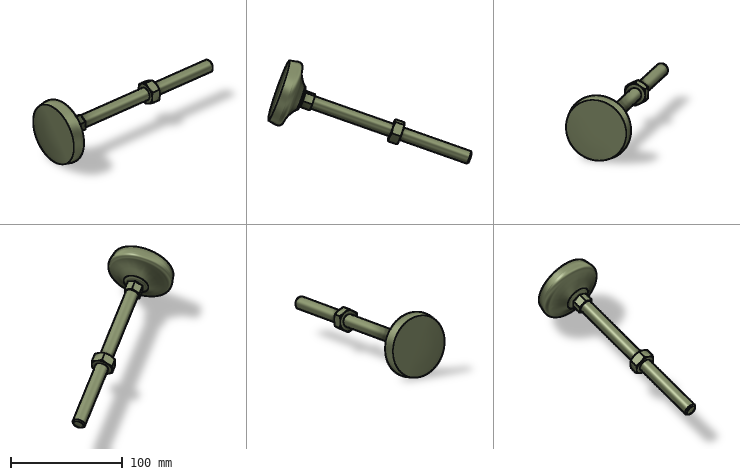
import cadquery as cq
import math

total_length = 182.0

foot_radius = 30.0
sole_radius = 28.5
skirt_height = 7.3
band_top = 8.7
shoulder_radius = 26.4
shoulder_height = 13.0
crown_edge_radius = 11.6
crown_edge_height = 20.4
crown_flat_radius = 9.1
foot_height = 22.0
flare_sag = 1.5
shoulder_bulge = 1.1
crown_bulge = 0.45

neck_diameter = 10.0
rod_diameter = 12.0
rod_chamfer = 1.3
stem_hex_start = 23.0
stem_hex_end = 31.8
stem_hex_flats = 14.0

nut_start = 107.0
nut_thickness = 9.3
nut_flats = 19.1
nut_chamfer_angle = 30.0


def bulged_midpoint(start, end, bulge):
    """Middle point of an arc; a positive bulge lies to the left of the travel from start to end."""
    dx = end[0] - start[0]
    dy = end[1] - start[1]
    chord = math.hypot(dx, dy)
    middle_x = (start[0] + end[0]) / 2 - bulge * dy / chord
    middle_y = (start[1] + end[1]) / 2 + bulge * dx / chord
    return (middle_x, middle_y)


def cylinder(diameter, start, end):
    """Round bar along Y."""
    return cq.Workplane("XZ", origin=(0, start, 0)).circle(diameter / 2).extrude(start - end)


def hexagon(flats, start, end):
    """Hexagonal bar along Y, with flats facing +X and -X and corners on Z."""
    across_corners = flats / math.cos(math.pi / 6)
    sketch = cq.Workplane("XZ", origin=(0, start, 0)).transformed(rotate=(0, 0, 90))
    return sketch.polygon(6, across_corners).extrude(start - end)


def make_foot():
    """Bell-shaped foot, revolved about Y."""
    band = (foot_radius, band_top)
    shoulder = (shoulder_radius, shoulder_height)
    crown_edge = (crown_edge_radius, crown_edge_height)
    crown_flat = (crown_flat_radius, foot_height)
    return (
        cq.Workplane("XY")
        .lineTo(sole_radius, 0)
        .lineTo(foot_radius, skirt_height)
        .lineTo(*band)
        .threePointArc(bulged_midpoint(band, shoulder, -shoulder_bulge), shoulder)
        .threePointArc(bulged_midpoint(shoulder, crown_edge, flare_sag), crown_edge)
        .threePointArc(bulged_midpoint(crown_edge, crown_flat, -crown_bulge), crown_flat)
        .lineTo(0, foot_height)
        .close()
        .revolve(360, (0, 0, 0), (0, 1, 0))
    )


def make_stem():
    """Neck, wrench hexagon and rod with a chamfered free end."""
    neck = cylinder(neck_diameter, foot_height, stem_hex_start)
    wrench_hex = hexagon(stem_hex_flats, stem_hex_start, stem_hex_end)
    rod = cylinder(rod_diameter, stem_hex_end, total_length).faces(">Y").chamfer(rod_chamfer)
    return neck.union(wrench_hex).union(rod)


def make_nut():
    """Hexagon with its corners turned off conically at both ends."""
    nut_end = nut_start + nut_thickness
    face_radius = nut_flats / 2
    corner_radius = face_radius / math.cos(math.pi / 6)
    chamfer_height = (corner_radius - face_radius) * math.tan(math.radians(nut_chamfer_angle))
    turned_envelope = (
        cq.Workplane("XY")
        .moveTo(0, nut_start)
        .lineTo(face_radius, nut_start)
        .lineTo(corner_radius, nut_start + chamfer_height)
        .lineTo(corner_radius, nut_end - chamfer_height)
        .lineTo(face_radius, nut_end)
        .lineTo(0, nut_end)
        .close()
        .revolve(360, (0, 0, 0), (0, 1, 0))
    )
    return hexagon(nut_flats, nut_start, nut_end).intersect(turned_envelope)


result = make_foot().union(make_stem()).union(make_nut())